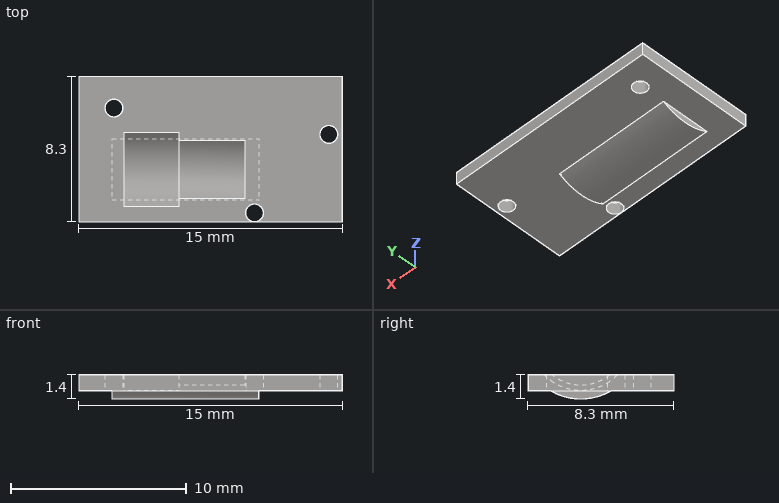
import cadquery as cq

plate_length = 15.0
plate_width = 8.3
plate_thickness = 0.92

axis_y = 3.0
axis_height = 2.0
wide_radius = 2.9
narrow_radius = 2.6
wall_thickness = 0.5
bulge_radius = wide_radius + wall_thickness

bulge_start = 1.88
wide_start = 2.58
step_x = 5.7
narrow_end = 9.45
bulge_end = 10.25

hole_diameter = 1.0
hole_centers = [(2.0, 6.5), (14.23, 5.0), (10.0, 0.53)]


def cylinder_along_x(radius, start, end):
    """Cylinder on the shared axis, between two X positions."""
    return (
        cq.Workplane("YZ", origin=(start, axis_y, axis_height))
        .circle(radius)
        .extrude(end - start)
    )


def make_plate():
    return cq.Workplane("XY").box(
        plate_length, plate_width, plate_thickness, centered=False
    ).translate((0, 0, -plate_thickness))


def make_bulge():
    """Part of the outer cylinder that lies below the plate's top face."""
    below_top = (
        cq.Workplane("XY")
        .rect(plate_length, plate_width, centered=False)
        .extrude(-bulge_radius)
    )
    return cylinder_along_x(bulge_radius, bulge_start, bulge_end).intersect(below_top)


def make_holes():
    return (
        cq.Workplane("XY")
        .pushPoints(hole_centers)
        .circle(hole_diameter / 2)
        .extrude(-plate_thickness)
    )


result = (
    make_plate()
    .union(make_bulge())
    .cut(cylinder_along_x(wide_radius, wide_start, step_x))
    .cut(cylinder_along_x(narrow_radius, step_x, narrow_end))
    .cut(make_holes())
)